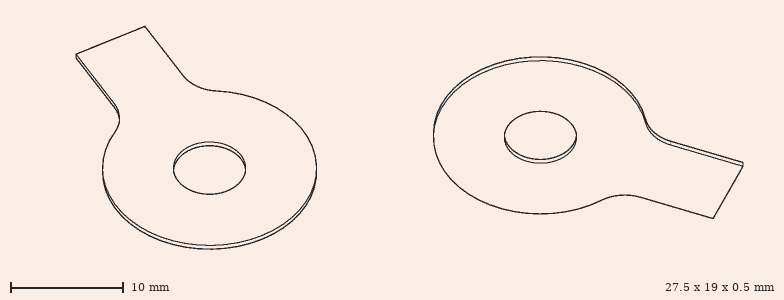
import cadquery as cq
import math

overall_length = 27.5
disc_diameter = 19.0
hole_diameter = 6.4
tab_width = 7.0
thickness = 0.5
blend_radius = 3.65

disc_radius = disc_diameter / 2
half_tab = tab_width / 2
tab_end_x = disc_radius - overall_length

center_distance = disc_radius + blend_radius
blend_y = half_tab + blend_radius
blend_x = -math.sqrt(center_distance**2 - blend_y**2)
rim_x = blend_x * disc_radius / center_distance
rim_y = blend_y * disc_radius / center_distance

rim_angle = math.atan2(rim_y - blend_y, rim_x - blend_x)
middle_angle = (rim_angle - math.pi / 2) / 2
middle_x = blend_x + blend_radius * math.cos(middle_angle)
middle_y = blend_y + blend_radius * math.sin(middle_angle)

plate = (
    cq.Workplane("XY")
    .moveTo(tab_end_x, -half_tab)
    .lineTo(blend_x, -half_tab)
    .threePointArc((middle_x, -middle_y), (rim_x, -rim_y))
    .threePointArc((disc_radius, 0), (rim_x, rim_y))
    .threePointArc((middle_x, middle_y), (blend_x, half_tab))
    .lineTo(tab_end_x, half_tab)
    .close()
    .extrude(thickness)
)

result = plate.faces(">Z").workplane(origin=(0, 0, thickness)).hole(hole_diameter)